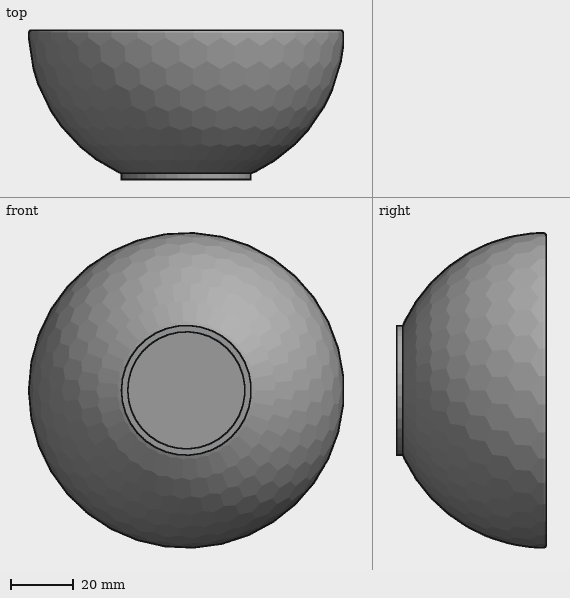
import cadquery as cq
import math

LONGEST_SIDE = 100.3
TOTAL_DEPTH = 47.6
FACETS_PER_RING = 35
FACET_RINGS = 9
RINGS_PER_TURN = 42
FOOT_HEIGHT = 2.0
FOOT_WALL = 2.0
WALL = 2.0
RIM_ROUND = 1.0
LIP_ROUND = 0.8

HALF_FACET = math.pi / FACETS_PER_RING
SPHERE_RADIUS = LONGEST_SIDE / 2 * math.cos(HALF_FACET) / math.cos(HALF_FACET / 2)
BASE_DEPTH = TOTAL_DEPTH - FOOT_HEIGHT
FLOOR_DEPTH = BASE_DEPTH - WALL


def latitude(ring):
    """Angle of a ring's facet normals below the rim plane."""
    return 2 * math.pi * ring / RINGS_PER_TURN


def facet_center(ring, index):
    """Angle about Y of a facet's middle; neighbouring rings are staggered by half a facet."""
    return HALF_FACET * (2 * index + ring % 2)


def point(radius, depth, angle):
    """Position at a distance from the axis, a depth below the rim and an angle about Y."""
    return cq.Vector(radius * math.cos(angle), -depth, radius * math.sin(angle))


def meeting_point(pair_ring, single_ring, angle):
    """Corner shared by two side-by-side facets of one ring and one facet of the next ring."""
    pair, single = latitude(pair_ring), latitude(single_ring)
    pair_cos = math.cos(pair) * math.cos(HALF_FACET)
    single_cos = math.cos(single)
    determinant = pair_cos * math.sin(single) - single_cos * math.sin(pair)
    radius = SPHERE_RADIUS * (math.sin(single) - math.sin(pair)) / determinant
    depth = SPHERE_RADIUS * (pair_cos - single_cos) / determinant
    return point(radius, depth, angle)


def ring_edge_radius(ring, depth):
    """Distance from the axis to the edge between two facets of a ring, at a given depth."""
    normal = latitude(ring)
    flat_radius = (SPHERE_RADIUS - depth * math.sin(normal)) / math.cos(normal)
    return flat_radius / math.cos(HALF_FACET)


def polygon_face(corners):
    return cq.Face.makeFromWires(cq.Wire.makePolygon(corners, close=True))


def level_corners(ring, depth):
    """Corners of the regular polygon in which a ring crosses a level plane."""
    radius = ring_edge_radius(ring, depth)
    return [point(radius, depth, facet_center(ring, i) + HALF_FACET) for i in range(FACETS_PER_RING)]


def facet(ring, index):
    """A hexagon, cut to a pentagon in the first ring (by the rim) and the last (by the base)."""
    middle = facet_center(ring, index)
    left, right = middle - HALF_FACET, middle + HALF_FACET
    if ring == 0:
        radius = ring_edge_radius(ring, 0)
        upper = [point(radius, 0, left), point(radius, 0, right)]
    else:
        upper = [
            meeting_point(ring, ring - 1, left),
            meeting_point(ring - 1, ring, middle),
            meeting_point(ring, ring - 1, right),
        ]
    if ring == FACET_RINGS - 1:
        radius = ring_edge_radius(ring, BASE_DEPTH)
        lower = [point(radius, BASE_DEPTH, right), point(radius, BASE_DEPTH, left)]
    else:
        lower = [
            meeting_point(ring, ring + 1, right),
            meeting_point(ring + 1, ring, middle),
            meeting_point(ring, ring + 1, left),
        ]
    return polygon_face(upper + lower)


def faceted_body():
    faces = [facet(ring, i) for ring in range(FACET_RINGS) for i in range(FACETS_PER_RING)]
    faces.append(polygon_face(level_corners(0, 0)))
    faces.append(polygon_face(level_corners(FACET_RINGS - 1, BASE_DEPTH)))
    return cq.Workplane(obj=cq.Solid.makeSolid(cq.Shell.makeShell(faces)))


def foot_ring():
    """Ring standing on the outline of the flat bottom, many-sided inside and outside."""
    outer = level_corners(FACET_RINGS - 1, BASE_DEPTH)
    outer_flat = ring_edge_radius(FACET_RINGS - 1, BASE_DEPTH) * math.cos(HALF_FACET)
    shrink = 1 - FOOT_WALL / outer_flat
    inner = [cq.Vector(p.x * shrink, p.y, p.z * shrink) for p in outer]
    outer_wire = cq.Wire.makePolygon(outer, close=True)
    inner_wire = cq.Wire.makePolygon(inner, close=True)
    return cq.Solid.extrudeLinear(outer_wire, [inner_wire], cq.Vector(0, -FOOT_HEIGHT, 0))


def cavity():
    """Smooth round inside of the bowl with a flat floor."""
    inner_radius = SPHERE_RADIUS - WALL
    floor_radius = math.sqrt(inner_radius ** 2 - FLOOR_DEPTH ** 2)
    halfway = inner_radius * math.sqrt(0.5)
    return (
        cq.Workplane("XY")
        .lineTo(inner_radius, 0)
        .threePointArc((halfway, -halfway), (floor_radius, -FLOOR_DEPTH))
        .lineTo(0, -FLOOR_DEPTH)
        .close()
        .revolve(360, (0, 0, 0), (0, 1, 0))
    )


body = faceted_body().faces(">Y").edges().fillet(RIM_ROUND)
bowl = body.cut(cavity())
bowl = bowl.faces(">Y").edges("%CIRCLE").fillet(LIP_ROUND)
result = bowl.union(foot_ring())